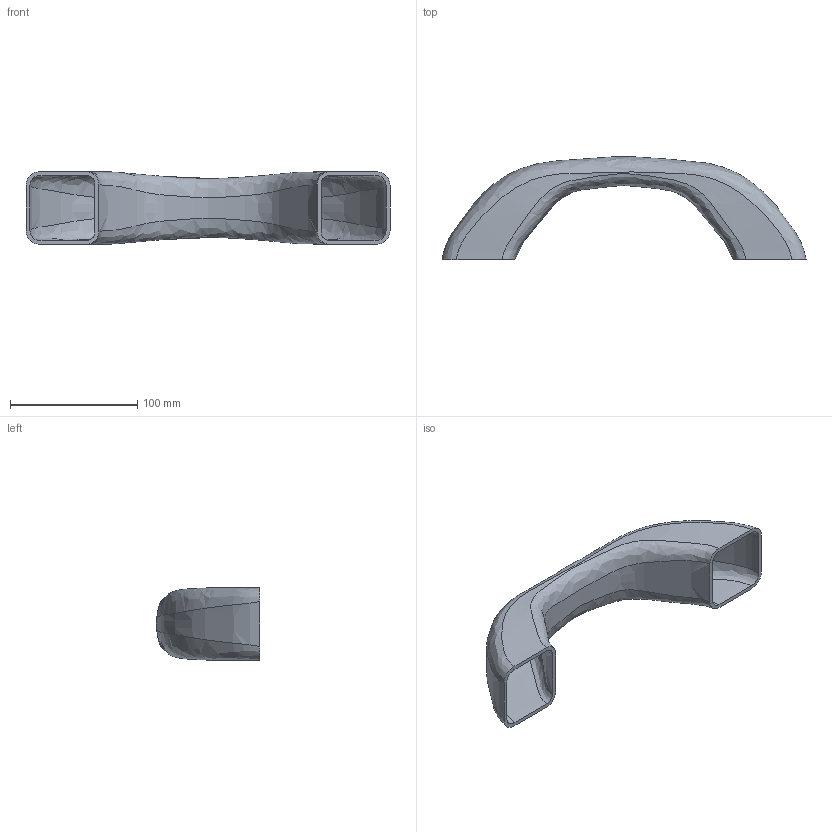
import cadquery as cq
import math

LENGTH = 286.04
FOOT_SIZE = 57.21
REACH = 80.98
MID_THICKNESS = 22.8
MID_HEIGHT = 45.9
WALL = 3.1

FOOT_OUTER_X = LENGTH / 2
FOOT_INNER_X = FOOT_OUTER_X - FOOT_SIZE

QUARTER_HANDLE = 4 / 3 * (math.sqrt(2) - 1)

HALF_STATIONS = [
    ((FOOT_INNER_X, 0.0), (FOOT_OUTER_X, 0.0), FOOT_SIZE, (10.0, 10.0), (11.0, 11.0)),
    ((75.0, 19.0), (131.0, 27.0), 57.0, (11.0, 11.0), (12.0, 14.0)),
    ((61.0, 36.0), (112.0, 50.5), 56.3, (12.0, 13.0), (14.0, 17.0)),
    ((46.5, 50.0), (84.0, 70.2), 53.5, (11.5, 15.0), (15.0, 19.0)),
    ((26.0, 55.7), (42.0, 78.4), 49.0, (10.0, 15.0), (13.0, 18.0)),
    ((0.0, REACH - MID_THICKNESS), (0.0, REACH), MID_HEIGHT, (9.5, 15.0), (12.0, 18.0)),
]


def mirrored(station):
    """Return the same section on the opposite side of the YZ plane."""
    inner, outer, height, inner_radii, outer_radii = station
    return (-inner[0], inner[1]), (-outer[0], outer[1]), height, inner_radii, outer_radii


def rounded_corner(sketch, start, corner, end):
    """Add a quarter ellipse from start to end, tangent to both sides meeting at corner."""
    handles = []
    for point in (start, end):
        handles.append(tuple(p + QUARTER_HANDLE * (c - p) for p, c in zip(point, corner)))
    return sketch.bezier([start, handles[0], handles[1], end])


def section_wire(station, inset):
    """Rounded rectangle standing on the inner-to-outer line, shrunk inwards by inset."""
    inner, outer, height, inner_radii, outer_radii = station
    dx = outer[0] - inner[0]
    dy = outer[1] - inner[1]
    plane = cq.Plane(
        origin=((inner[0] + outer[0]) / 2, (inner[1] + outer[1]) / 2, 0),
        xDir=(dx, dy, 0),
        normal=(dy, -dx, 0),
    )
    half_depth = math.hypot(dx, dy) / 2 - inset
    half_height = height / 2 - inset
    inner_side = -half_depth + inner_radii[0] - inset
    outer_side = half_depth - outer_radii[0] + inset
    inner_flat = half_height - inner_radii[1] + inset
    outer_flat = half_height - outer_radii[1] + inset

    sketch = cq.Workplane(plane).moveTo(inner_side, -half_height)
    sketch = sketch.lineTo(outer_side, -half_height)
    sketch = rounded_corner(
        sketch, (outer_side, -half_height), (half_depth, -half_height), (half_depth, -outer_flat)
    )
    sketch = sketch.lineTo(half_depth, outer_flat)
    sketch = rounded_corner(
        sketch, (half_depth, outer_flat), (half_depth, half_height), (outer_side, half_height)
    )
    sketch = sketch.lineTo(inner_side, half_height)
    sketch = rounded_corner(
        sketch, (inner_side, half_height), (-half_depth, half_height), (-half_depth, inner_flat)
    )
    sketch = sketch.lineTo(-half_depth, -inner_flat)
    sketch = rounded_corner(
        sketch, (-half_depth, -inner_flat), (-half_depth, -half_height), (inner_side, -half_height)
    )
    return sketch.wire().val()


def bow(inset):
    """Solid running from the left foot over the crown to the right foot."""
    left_half = [mirrored(station) for station in HALF_STATIONS]
    right_half = HALF_STATIONS[-2::-1]
    wires = [section_wire(station, inset) for station in left_half + right_half]
    return cq.Workplane(obj=cq.Solid.makeLoft(wires))


result = bow(0.0).cut(bow(WALL))